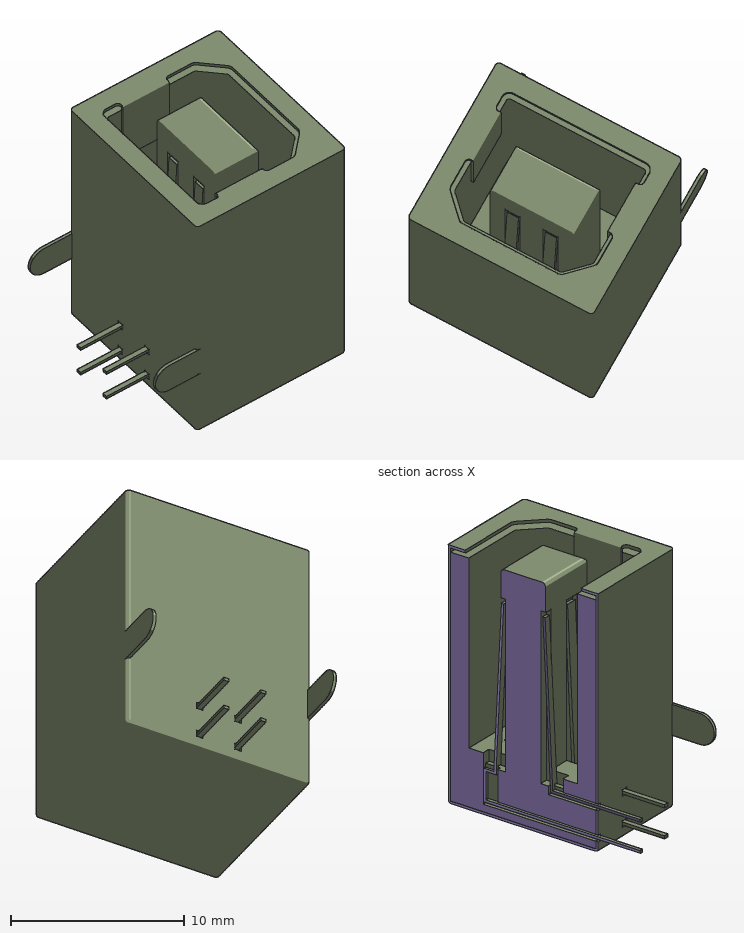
import cadquery as cq

WIDTH = 12.2
DEPTH = 10.8
HEIGHT = 16.7
FRONT_REACH = 3.0
MID_Y = DEPTH / 2

SHEET = 0.2
SHELL_RADIUS = 0.25
OPENING_MARGIN = 0.27
NOTCH_RADIUS = 0.25
FLAP_BOTTOM_Y = 2.59
FLAP_TOP_Y = 5.95
FLAP_THICKNESS = 0.17
FLAP_LENGTH = 4.18
TAB_BOTTOM_Z = 4.68
TAB_HEIGHT = 2.0

INSULATOR_TOP_Z = 16.27
SOCKET_HALF_WIDTH = 4.58
SOCKET_HALF_HEIGHT = 3.89
SOCKET_CHAMFER = 1.37
SOCKET_RADIUS = 0.2
SOCKET_FLOOR_Z = 4.0

TONGUE_WIDTH = 5.56
TONGUE_HEIGHT = 3.22
TONGUE_TOP_Z = INSULATOR_TOP_Z
TONGUE_RADIUS = 0.27
TONGUE_CORNER_RADIUS = 0.07

PIN_X = 1.25
PIN_THICKNESS = 0.2
TAIL_INNER_X = 1.07
TAIL_OUTER_X = 1.4
LEG_INNER_X = 1.14
BLADE_WIDTH = 0.75
ROW_PITCH = 2.0
LOWER_ROW_Z = 0.82
UPPER_ROW_Z = LOWER_ROW_Z + ROW_PITCH
TAIL_ROWS_Z = (UPPER_ROW_Z, LOWER_ROW_Z)
RISER_OFFSET = 2.12
BLADE_TIP_OFFSET = 1.59
BLADE_BOTTOM_Z = 3.34
BLADE_TOP_Z = 14.03

SLOT_WIDTH = 1.0
SLOT_OUTER_OFFSET = 2.85
SLOT_FLOOR_Z = 3.24
SLOT_TOP_Z = 14.36
GROOVE_DEPTH = 0.33
GAP = 0.08
GAP_BELOW = 0.13

SIDES = (-1, 1)


def box(x_ends, y_ends, z_ends):
    """Axis-aligned box between two ends on each axis, in any order."""
    ends = (x_ends, y_ends, z_ends)
    sizes = [abs(b - a) for a, b in ends]
    corner = tuple(min(pair) for pair in ends)
    return cq.Workplane("XY").box(*sizes, centered=False).translate(corner)


def row_ends(side, inner, outer):
    """Y range between two distances from the tongue centre, on one side of it."""
    return MID_Y + side * inner, MID_Y + side * outer


def socket_profile(z):
    """Rectangle with two chamfered upper corners, on a plane at height z."""
    w = SOCKET_HALF_WIDTH
    h = SOCKET_HALF_HEIGHT
    c = SOCKET_CHAMFER
    points = [(-w, -h), (w, -h), (w, h - c), (w - c, h), (c - w, h), (-w, h - c)]
    return cq.Workplane("XY", origin=(0, MID_Y, z)).polyline(points).close()


def socket_block(z_bottom, z_top):
    block = socket_profile(z_bottom).extrude(z_top - z_bottom)
    return block.edges("|Z").fillet(SOCKET_RADIUS)


def inner_block(top_z):
    """Block that fills the inside of the shell up to top_z."""
    half = WIDTH / 2 - SHEET
    return box((-half, half), (SHEET, DEPTH - SHEET), (SHEET, top_z))


def tail_channel(side_x, row_z, y_end):
    """Passage around a pin tail, from the front face to y_end."""
    return box(
        (side_x * TAIL_INNER_X, side_x * (TAIL_OUTER_X + GAP)),
        (0, y_end),
        (row_z - GAP_BELOW, row_z + PIN_THICKNESS + GAP),
    )




def opening_cutter():
    """Socket outline enlarged by the margin, less the two places where the flaps bend in."""
    wide = socket_block(HEIGHT - SHEET, HEIGHT).faces(">Z").wires().toPending()
    wide = wide.offset2D(OPENING_MARGIN).extrude(-SHEET, combine=False)
    reach = SOCKET_HALF_WIDTH + OPENING_MARGIN
    for side in SIDES:
        flap_root = box(
            (side * SOCKET_HALF_WIDTH, side * WIDTH), (FLAP_BOTTOM_Y, FLAP_TOP_Y), (0, HEIGHT)
        )
        wide = wide.cut(flap_root)
    for side in SIDES:
        for y in (FLAP_BOTTOM_Y, FLAP_TOP_Y):
            corner = cq.selectors.NearestToPointSelector((side * reach, y, HEIGHT - SHEET / 2))
            wide = wide.edges("|Z").edges(corner).fillet(NOTCH_RADIUS)
    return wide


def flap(side):
    """Strip bent down from the opening edge, against the socket wall."""
    outer = side * SOCKET_HALF_WIDTH
    inner = side * (SOCKET_HALF_WIDTH - FLAP_THICKNESS)
    profile = (
        cq.Workplane("XZ", origin=(0, FLAP_TOP_Y, 0))
        .moveTo(outer, HEIGHT)
        .radiusArc((inner, HEIGHT - FLAP_THICKNESS), -side * FLAP_THICKNESS)
        .lineTo(inner, HEIGHT - FLAP_LENGTH)
        .lineTo(outer, HEIGHT - FLAP_LENGTH)
        .close()
    )
    return profile.extrude(FLAP_TOP_Y - FLAP_BOTTOM_Y)


def mounting_tab(side):
    """Round-ended extension of a side wall, standing out in front."""
    radius = TAB_HEIGHT / 2
    tab = box(
        (side * (WIDTH / 2 - SHEET), side * WIDTH / 2),
        (-FRONT_REACH, SHELL_RADIUS),
        (TAB_BOTTOM_Z, TAB_BOTTOM_Z + TAB_HEIGHT),
    )
    end = (
        cq.Workplane("YZ", origin=(0, radius - FRONT_REACH, TAB_BOTTOM_Z + radius))
        .circle(radius)
        .extrude(WIDTH / 2, both=True)
    )
    shank = box((-WIDTH, WIDTH), (radius - FRONT_REACH, SHELL_RADIUS), (0, HEIGHT))
    return tab.intersect(end.union(shank))


def make_shell():
    shell = box((-WIDTH / 2, WIDTH / 2), (0, DEPTH), (0, HEIGHT))
    shell = shell.edges("|Z or <Z").fillet(SHELL_RADIUS)
    shell = shell.cut(inner_block(HEIGHT - SHEET)).cut(opening_cutter())
    for side in SIDES:
        shell = shell.union(flap(side)).union(mounting_tab(side))
        for row_z in TAIL_ROWS_Z:
            shell = shell.cut(tail_channel(side, row_z, SHEET))
    return shell




def make_tongue():
    tongue = box(
        (-TONGUE_WIDTH / 2, TONGUE_WIDTH / 2),
        (MID_Y - TONGUE_HEIGHT / 2, MID_Y + TONGUE_HEIGHT / 2),
        (SOCKET_FLOOR_Z, TONGUE_TOP_Z),
    )
    tongue = tongue.edges("|Z").fillet(TONGUE_CORNER_RADIUS)
    return tongue.faces(">Z").edges().fillet(TONGUE_RADIUS)


def contact_slot(side_x, side_y):
    """Wide slot in the socket floor that continues up the tongue as a groove."""
    return box(
        (side_x * (PIN_X - SLOT_WIDTH / 2), side_x * (PIN_X + SLOT_WIDTH / 2)),
        row_ends(side_y, TONGUE_HEIGHT / 2 - GROOVE_DEPTH, SLOT_OUTER_OFFSET),
        (SLOT_FLOOR_Z, SLOT_TOP_Z),
    )


def riser_passage(side_x, side_y, bottom_z):
    """Narrow passage from the slot floor down to a tail channel."""
    return box(
        (side_x * TAIL_INNER_X, side_x * (TAIL_OUTER_X + GAP)),
        row_ends(side_y, RISER_OFFSET - PIN_THICKNESS - GAP, SLOT_OUTER_OFFSET),
        (bottom_z, SLOT_FLOOR_Z),
    )


def make_insulator():
    insulator = inner_block(INSULATOR_TOP_Z).cut(socket_block(SOCKET_FLOOR_Z, HEIGHT))
    insulator = insulator.union(make_tongue())
    for side_x in SIDES:
        for side_y, row_z in zip(SIDES, TAIL_ROWS_Z):
            insulator = insulator.cut(contact_slot(side_x, side_y))
            insulator = insulator.cut(riser_passage(side_x, side_y, row_z - GAP_BELOW))
            insulator = insulator.cut(tail_channel(side_x, row_z, MID_Y + side_y * RISER_OFFSET))
    return insulator




def contact_blade(side_x, side_y):
    """Wide strip that leans inwards from the riser to its tip in the tongue groove."""
    foot_outer, foot_inner = row_ends(side_y, RISER_OFFSET, RISER_OFFSET - PIN_THICKNESS)
    tip_outer, tip_inner = row_ends(side_y, BLADE_TIP_OFFSET, BLADE_TIP_OFFSET - PIN_THICKNESS)
    points = [
        (foot_outer, BLADE_BOTTOM_Z),
        (tip_outer, BLADE_TOP_Z),
        (tip_inner, BLADE_TOP_Z),
        (foot_inner, BLADE_BOTTOM_Z),
    ]
    plane = cq.Workplane("YZ", origin=(side_x * PIN_X, 0, 0))
    return plane.polyline(points).close().extrude(BLADE_WIDTH / 2, both=True)


def make_pin(side_x, side_y):
    """Pin on one side of the tongue; the far one drops by a leg to the lower row."""
    x_ends = (side_x * TAIL_INNER_X, side_x * TAIL_OUTER_X)
    lead_z = (UPPER_ROW_Z, UPPER_ROW_Z + PIN_THICKNESS)
    riser_y = row_ends(side_y, RISER_OFFSET - PIN_THICKNESS, RISER_OFFSET)
    pin = contact_blade(side_x, side_y).union(box(x_ends, riser_y, (UPPER_ROW_Z, BLADE_BOTTOM_Z)))
    if side_y < 0:
        return pin.union(box(x_ends, (-FRONT_REACH, max(riser_y)), lead_z))
    leg_y = row_ends(side_y, SLOT_OUTER_OFFSET - PIN_THICKNESS, SLOT_OUTER_OFFSET)
    leg_x = (side_x * LEG_INNER_X, side_x * TAIL_OUTER_X)
    lead = box(leg_x, (min(riser_y), max(leg_y)), lead_z)
    leg = box(leg_x, leg_y, (LOWER_ROW_Z, max(lead_z)))
    tail = box(x_ends, (-FRONT_REACH, max(leg_y)), (LOWER_ROW_Z, LOWER_ROW_Z + PIN_THICKNESS))
    return pin.union(lead).union(leg).union(tail)


shell = make_shell()
insulator = make_insulator()
pins = [make_pin(side_x, side_y).val() for side_x in SIDES for side_y in SIDES]

result = cq.Compound.makeCompound([shell.val(), insulator.val(), *pins])